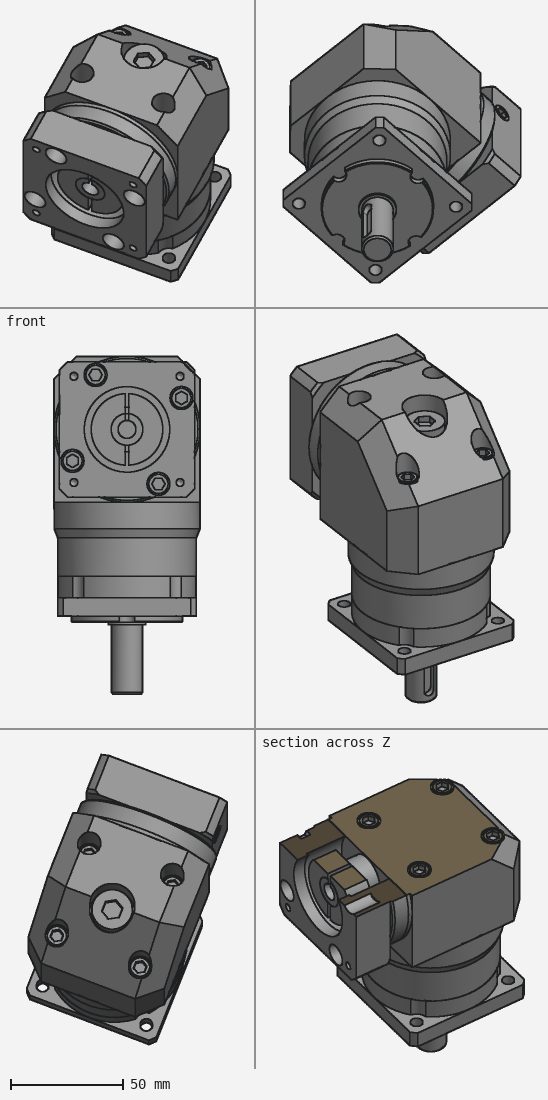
import cadquery as cq
import math


BLOCK_SIZE = 65.0
TOTAL_HEIGHT = 150.5
INPUT_FACE_Y = -61.0
BLOCK_HALF = BLOCK_SIZE / 2
BEVEL = 30.0
SIDE_CHAMFER = 10.1

NECK_END_Z = -44.2
CONE_END_Z = -48.3
BARREL_END_Z = -65.5
FLANGE_TOP_Z = -75.0
FLANGE_BOTTOM_Z = -83.1
PILOT_END_Z = -86.0
BARREL_DIAMETER = 61.9
NOSE_DIAMETER = 61.7
FLANGE_WIDTH = BARREL_DIAMETER
FLANGE_CORNER_RADIUS = 42.0
FLANGE_BOLT_CIRCLE = 70.0
FLANGE_HOLE_SPACING = FLANGE_BOLT_CIRCLE * math.sqrt(0.5)
FLANGE_HOLE_DIAMETER = 5.5
HEAD_NOTCH_DIAMETER = 11.0
PILOT_RADIUS = 25.0
PILOT_CHAMFER = 0.5
PILOT_NOTCH_RADIUS = 3.5

SCREW_SPACING = 39.7
SCREW_BORE_DIAMETER = 10.2
SCREW_HEAD_DIAMETER = 8.6
SCREW_HEX = 5.1
HEX_DEPTH = 3
TOP_SCREW_HEAD_Z = 10.7
TOP_SCREW_GAP = 0.8
PLUG_Y = 3
PLUG_BORE_DIAMETER = 20.2
PLUG_DIAMETER = 18
PLUG_TOP_Z = 25.0
PLUG_GAP = 6
PLUG_HEX = 8.1

COLLAR_END_Z = -87.0
COLLAR_DIAMETER = 16.9
SHAFT_DIAMETER = 14.0
SHAFT_CHAMFER = 0.9
KEYWAY_WIDTH = 5.0
KEYWAY_DEPTH = 3
KEYWAY_LENGTH = 24.1
KEYWAY_CENTRE_Z = -102.3

JOINT_Y = -34.5
RING_END_Y = -42.6
RING_CHAMFER = 0.9
PLATE_WIDTH = 60.2
PLATE_CORNER_RADIUS = 40.0
PLATE_BACK_CHAMFER = 1.5
MOTOR_PILOT_DIAMETER = 38.1
MOTOR_PILOT_DEPTH = 5.9
CAVITY_DIAMETER = 40.0
MOTOR_HOLE_SPACING = 47.3
MOTOR_HOLE_DIAMETER = 3.5
MOTOR_HOLE_DEPTH = 9
DRILL_POINT_ANGLE = 118
ADAPTER_SCREW_RADIUS = 28.0
ADAPTER_SCREW_ANGLES = (30, 120, 210, 300)
ADAPTER_BORE_DEPTH = 13.5
ADAPTER_HEAD_CHAMFER = 0.8
ACCESS_Y = -49.0
ACCESS_Z = 11.0
ACCESS_DIAMETER = 8.3
ACCESS_DEPTH = 0.2
ACCESS_HEX = 5.0

CLAMP_DIAMETER = 31.9
CLAMP_BACK_Y = -43.0
SLEEVE_DIAMETER = 14.1
SLEEVE_RECESS = 0.2
SHOULDER_DIAMETER = 19.9
HUB_BORE_DIAMETER = 8.0
HUB_BORE_END_Y = -37.6
SLIT_WIDTH = 1.7
SLEEVE_SLIT_END_Y = -45.2

BLOCK_BOTTOM_Z = -BLOCK_HALF
SHAFT_END_Z = BLOCK_HALF - TOTAL_HEIGHT
CLAMP_FRONT_Y = INPUT_FACE_Y + MOTOR_PILOT_DEPTH


def upright_cylinder(diameter, bottom, top, x=0, y=0):
    """Cylinder along Z between two heights."""
    return cq.Workplane("XY", origin=(x, y, bottom)).circle(diameter / 2).extrude(top - bottom)


def input_cylinder(diameter, front, back):
    """Cylinder on the input axis from its front end to its back end."""
    return cq.Workplane("XZ", origin=(0, back, 0)).circle(diameter / 2).extrude(back - front)


def hex_diameter(across_flats):
    """Diameter through the corners of a hexagon."""
    return across_flats / math.cos(math.pi / 6)


def square_places(spacing):
    """Corners of a centred square."""
    half = spacing / 2
    return [(-half, -half), (-half, half), (half, -half), (half, half)]


def revolve_about_input(points):
    """Turn a closed outline of (radius, y) points about the Y axis."""
    return cq.Workplane("XY").polyline(points).close().revolve(360, (0, 0), (0, 1))


def angle_block():
    profile = [
        (-BLOCK_HALF, -BLOCK_HALF),
        (BLOCK_HALF, -BLOCK_HALF),
        (BLOCK_HALF, BLOCK_HALF - BEVEL),
        (BLOCK_HALF - BEVEL, BLOCK_HALF),
        (-BLOCK_HALF, BLOCK_HALF),
    ]
    block = cq.Workplane("YZ").polyline(profile).close().extrude(BLOCK_HALF, both=True)
    side_edges = block.faces("<X or >X").edges("(not <Z) and (not <Y)")
    return side_edges.chamfer(SIDE_CHAMFER)


def output_barrel():
    """Neck, cone, barrel and nose, turned about the output axis."""
    profile = [
        (0, BLOCK_BOTTOM_Z),
        (BLOCK_HALF, BLOCK_BOTTOM_Z),
        (BLOCK_HALF, NECK_END_Z),
        (BARREL_DIAMETER / 2, CONE_END_Z),
        (BARREL_DIAMETER / 2, BARREL_END_Z),
        (NOSE_DIAMETER / 2, BARREL_END_Z),
        (NOSE_DIAMETER / 2, FLANGE_TOP_Z),
        (0, FLANGE_TOP_Z),
    ]
    barrel = cq.Workplane("XZ").polyline(profile).close().revolve(360, (0, 0), (0, 1))
    for x, y in square_places(FLANGE_HOLE_SPACING):
        barrel = barrel.cut(upright_cylinder(HEAD_NOTCH_DIAMETER, FLANGE_TOP_Z, BARREL_END_Z, x, y))
    return barrel


def output_flange():
    thickness = FLANGE_TOP_Z - FLANGE_BOTTOM_Z
    plate = cq.Workplane("XY", origin=(0, 0, FLANGE_BOTTOM_Z)).rect(FLANGE_WIDTH, FLANGE_WIDTH)
    plate = plate.extrude(thickness)
    plate = plate.intersect(upright_cylinder(2 * FLANGE_CORNER_RADIUS, FLANGE_BOTTOM_Z, FLANGE_TOP_Z))
    for x, y in square_places(FLANGE_HOLE_SPACING):
        plate = plate.cut(upright_cylinder(FLANGE_HOLE_DIAMETER, FLANGE_BOTTOM_Z, FLANGE_TOP_Z, x, y))
    return plate


def output_pilot():
    """Centring disc under the flange, with a round notch on each side."""
    pilot = upright_cylinder(2 * PILOT_RADIUS, PILOT_END_Z, FLANGE_BOTTOM_Z)
    pilot = pilot.faces("<Z").chamfer(PILOT_CHAMFER)
    notch_diameter = 2 * PILOT_NOTCH_RADIUS
    for x, y in ((PILOT_RADIUS, 0), (0, PILOT_RADIUS), (-PILOT_RADIUS, 0), (0, -PILOT_RADIUS)):
        pilot = pilot.cut(upright_cylinder(notch_diameter, PILOT_END_Z, FLANGE_BOTTOM_Z, x, y))
    return pilot


def top_socket(x, y, head_z, across_flats):
    """Cutter for a hexagon socket with two corners on the Y direction."""
    socket = cq.Workplane("XY", origin=(x, y, head_z)).transformed(rotate=(0, 0, 90))
    return socket.polygon(6, hex_diameter(across_flats)).extrude(-HEX_DEPTH)


def top_screw_recess(x, y):
    """Cutter for a bore that leaves a round screw head with a hexagon socket."""
    bottom = TOP_SCREW_HEAD_Z - TOP_SCREW_GAP
    bore = upright_cylinder(SCREW_BORE_DIAMETER, bottom, BLOCK_HALF, x, y)
    head = upright_cylinder(SCREW_HEAD_DIAMETER, bottom, TOP_SCREW_HEAD_Z, x, y)
    return bore.cut(head).union(top_socket(x, y, TOP_SCREW_HEAD_Z, SCREW_HEX))


def add_plug(housing):
    """Sunk plug whose head stands clear of its bore and partly above the bevel."""
    bottom = PLUG_TOP_Z - PLUG_GAP
    housing = housing.cut(upright_cylinder(PLUG_BORE_DIAMETER, bottom, BLOCK_HALF, 0, PLUG_Y))
    housing = housing.union(upright_cylinder(PLUG_DIAMETER, bottom, PLUG_TOP_Z, 0, PLUG_Y))
    return housing.cut(top_socket(0, PLUG_Y, PLUG_TOP_Z, PLUG_HEX))


def make_housing():
    housing = add_plug(angle_block())
    for x, y in square_places(SCREW_SPACING):
        housing = housing.cut(top_screw_recess(x, y))
    input_lip = input_cylinder(BLOCK_SIZE, JOINT_Y, -BLOCK_HALF)
    return housing.union(output_barrel()).union(output_flange()).union(output_pilot()).union(input_lip)


def make_output_shaft():
    """Keyed shaft with a collar that bears on the pilot face."""
    shaft = upright_cylinder(SHAFT_DIAMETER, SHAFT_END_Z, COLLAR_END_Z).faces("<Z").chamfer(SHAFT_CHAMFER)
    shaft = shaft.union(upright_cylinder(COLLAR_DIAMETER, COLLAR_END_Z, PILOT_END_Z))
    keyway = cq.Workplane("XZ", origin=(0, SHAFT_DIAMETER / 2, KEYWAY_CENTRE_Z))
    keyway = keyway.slot2D(KEYWAY_LENGTH, KEYWAY_WIDTH, 90).extrude(KEYWAY_DEPTH)
    return shaft.cut(keyway)


def adapter_blank():
    """Round ring against the housing and square plate with turned corners in front of it."""
    ring = input_cylinder(BLOCK_SIZE, RING_END_Y, JOINT_Y).faces("<Y").chamfer(RING_CHAMFER)
    plate = cq.Workplane("XZ", origin=(0, RING_END_Y, 0)).rect(PLATE_WIDTH, PLATE_WIDTH)
    plate = plate.extrude(RING_END_Y - INPUT_FACE_Y)
    turning = input_cylinder(2 * PLATE_CORNER_RADIUS, INPUT_FACE_Y, RING_END_Y)
    turning = turning.faces(">Y").chamfer(PLATE_BACK_CHAMFER)
    return ring.union(plate.intersect(turning))


def motor_hole(x, z):
    """Cutter for a blind hole with a drill point."""
    radius = MOTOR_HOLE_DIAMETER / 2
    point_length = radius / math.tan(math.radians(DRILL_POINT_ANGLE / 2))
    bottom = INPUT_FACE_Y + MOTOR_HOLE_DEPTH
    profile = [(0, INPUT_FACE_Y), (radius, INPUT_FACE_Y), (radius, bottom), (0, bottom + point_length)]
    return revolve_about_input(profile).translate((x, 0, z))


def adapter_screw_recess(angle):
    """Cutter for a screw bore that leaves a chamfered head with a hexagon socket."""
    head_y = INPUT_FACE_Y + ADAPTER_BORE_DEPTH
    bore_radius = SCREW_BORE_DIAMETER / 2
    head_radius = SCREW_HEAD_DIAMETER / 2
    profile = [
        (0, INPUT_FACE_Y),
        (bore_radius, INPUT_FACE_Y),
        (bore_radius, head_y + ADAPTER_HEAD_CHAMFER),
        (head_radius, head_y),
        (0, head_y),
    ]
    socket = cq.Workplane("XZ", origin=(0, head_y, 0)).polygon(6, hex_diameter(SCREW_HEX))
    recess = revolve_about_input(profile).union(socket.extrude(-HEX_DEPTH))
    return recess.translate((ADAPTER_SCREW_RADIUS, 0, 0)).rotate((0, 0, 0), (0, 1, 0), -angle)


def clamp_screw_access():
    """Cutter for the shallow round recess in the -X side, with a hexagon socket in its floor."""
    side = cq.Workplane("YZ", origin=(-PLATE_WIDTH / 2, ACCESS_Y, ACCESS_Z))
    socket = side.polygon(6, hex_diameter(ACCESS_HEX)).extrude(ACCESS_DEPTH + HEX_DEPTH)
    return side.circle(ACCESS_DIAMETER / 2).extrude(ACCESS_DEPTH).union(socket)


def make_adapter():
    adapter = adapter_blank()
    adapter = adapter.cut(input_cylinder(MOTOR_PILOT_DIAMETER, INPUT_FACE_Y, CLAMP_FRONT_Y))
    adapter = adapter.cut(input_cylinder(CAVITY_DIAMETER, CLAMP_FRONT_Y, JOINT_Y))
    for x, z in square_places(MOTOR_HOLE_SPACING):
        adapter = adapter.cut(motor_hole(x, z))
    for angle in ADAPTER_SCREW_ANGLES:
        adapter = adapter.cut(adapter_screw_recess(angle))
    return adapter.cut(clamp_screw_access())


def make_clamping_hub():
    """Slit clamp disc on a bored sleeve, standing on the housing inside the adapter."""
    sleeve_front = CLAMP_FRONT_Y + SLEEVE_RECESS
    disc = input_cylinder(CLAMP_DIAMETER, CLAMP_FRONT_Y, CLAMP_BACK_Y)
    disc_slit = cq.Workplane("XZ", origin=(0, CLAMP_BACK_Y, 0)).rect(SLIT_WIDTH, CLAMP_DIAMETER)
    disc = disc.cut(disc_slit.extrude(CLAMP_BACK_Y - CLAMP_FRONT_Y))
    disc = disc.cut(input_cylinder(SLEEVE_DIAMETER, CLAMP_FRONT_Y, CLAMP_BACK_Y))
    sleeve = input_cylinder(SLEEVE_DIAMETER, sleeve_front, CLAMP_BACK_Y)
    sleeve_slit = cq.Workplane("XZ", origin=(0, SLEEVE_SLIT_END_Y, SLEEVE_DIAMETER / 4))
    sleeve_slit = sleeve_slit.rect(SLIT_WIDTH, SLEEVE_DIAMETER / 2)
    sleeve = sleeve.cut(sleeve_slit.extrude(SLEEVE_SLIT_END_Y - sleeve_front))
    shoulder = input_cylinder(SHOULDER_DIAMETER, CLAMP_BACK_Y, JOINT_Y)
    bore = input_cylinder(HUB_BORE_DIAMETER, sleeve_front, HUB_BORE_END_Y)
    return disc.union(sleeve).union(shoulder).cut(bore)


housing = make_housing()
output_shaft = make_output_shaft()
adapter = make_adapter()
clamping_hub = make_clamping_hub()

result = cq.Compound.makeCompound([housing.val(), output_shaft.val(), adapter.val(), clamping_hub.val()])